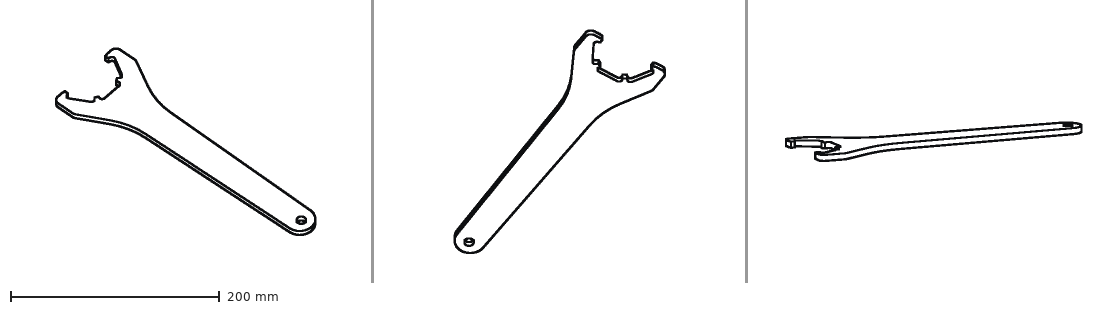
import cadquery as cq
import math

thickness = 6.0
overall_length = 290.0
jaw_width = 89.66

facet_distance = 32.15
facet_step = 60.0
tooth_tip_distance = 29.2
tooth_tip_half_width = 2.1
tooth_taper = 10.5
inner_tooth_angle = 30.0
hook_tooth_angle = inner_tooth_angle + facet_step
relief_radius = 3.0

jaw_end_x = -2.75
jaw_end_radius = 6.0
shoulder_start_x = 21.5
shoulder_radius = 7.0
arm_angle = 28.8
throat_radius = 80.0

handle_end_radius = 15.0
handle_taper = 0.97
hang_hole_diameter = 9.0
hang_hole_to_end = 13.0

jaw_half_width = jaw_width / 2
handle_end_x = jaw_end_x + overall_length
handle_arc_x = handle_end_x - handle_end_radius
hang_hole_x = handle_end_x - hang_hole_to_end
taper_slope = math.tan(math.radians(tooth_taper))


def tooth_point(angle, along, across):
    """Point on a tooth, measured along and across its radial centre line."""
    a = math.radians(angle)
    x = along * math.cos(a) - across * math.sin(a)
    y = along * math.sin(a) + across * math.cos(a)
    return (x, y)


def tooth_root():
    """Place along and across a tooth where its flank meets the next facet."""
    half_step = math.radians(facet_step / 2)
    flank_at_axis = tooth_tip_half_width - tooth_tip_distance * taper_slope
    reach = facet_distance - flank_at_axis * math.sin(half_step)
    along = reach / (math.cos(half_step) + taper_slope * math.sin(half_step))
    return along, flank_at_axis + along * taper_slope


root_along, root_across = tooth_root()
back_centre = (facet_distance, 0)
back_relief = tooth_point(inner_tooth_angle, root_along, -root_across)
inner_tip_low = tooth_point(inner_tooth_angle, tooth_tip_distance, -tooth_tip_half_width)
inner_tip_high = tooth_point(inner_tooth_angle, tooth_tip_distance, tooth_tip_half_width)
inner_relief = tooth_point(inner_tooth_angle, root_along, root_across)
hook_relief = tooth_point(hook_tooth_angle, root_along, -root_across)
hook_tip_inside = tooth_point(hook_tooth_angle, tooth_tip_distance, -tooth_tip_half_width)
hook_tip_outside = tooth_point(hook_tooth_angle, tooth_tip_distance, tooth_tip_half_width)
hook_flank_rise = (-jaw_end_x - tooth_tip_half_width) / taper_slope
hook_flank_end = (jaw_end_x, tooth_tip_distance + hook_flank_rise)
jaw_corner = (jaw_end_x, jaw_half_width)
shoulder_setback = shoulder_radius * math.tan(math.radians(arm_angle / 2))
shoulder = (shoulder_start_x + shoulder_setback, jaw_half_width)

taper_angle = math.radians(handle_taper)
handle_tangent = (
    handle_arc_x + handle_end_radius * math.sin(taper_angle),
    handle_end_radius * math.cos(taper_angle),
)
arm_slope = math.tan(math.radians(arm_angle))
handle_slope = math.tan(taper_angle)
handle_height_at_shoulder = handle_tangent[1] + (handle_tangent[0] - shoulder[0]) * handle_slope
throat_run = (jaw_half_width - handle_height_at_shoulder) / (arm_slope - handle_slope)
throat = (shoulder[0] + throat_run, jaw_half_width - throat_run * arm_slope)
end_mid_angle = (math.pi / 2 - taper_angle) / 2
end_arc_middle = (
    handle_arc_x + handle_end_radius * math.cos(end_mid_angle),
    handle_end_radius * math.sin(end_mid_angle),
)

jaw_corners = [
    back_centre, back_relief, inner_tip_low, inner_tip_high, inner_relief, hook_relief,
    hook_tip_inside, hook_tip_outside, hook_flank_end, jaw_corner, shoulder, throat,
]
rounded_corners = [
    (back_relief, relief_radius),
    (inner_relief, relief_radius),
    (hook_relief, relief_radius),
    (jaw_corner, jaw_end_radius),
    (shoulder, shoulder_radius),
    (throat, throat_radius),
]


def half_blank():
    """Upper half of the wrench with sharp corners."""
    return (
        cq.Workplane("XY")
        .polyline(jaw_corners + [handle_tangent])
        .threePointArc(end_arc_middle, (handle_end_x, 0))
        .close()
        .extrude(thickness)
    )


def round_corner(body, corner, radius):
    """Round the vertical edge standing on the given corner."""
    middle = (corner[0], corner[1], thickness / 2)
    return body.edges(cq.selectors.NearestToPointSelector(middle)).fillet(radius)


def rounded_half():
    """Upper half of the wrench with its corners rounded."""
    body = half_blank()
    for corner, radius in rounded_corners:
        body = round_corner(body, corner, radius)
    return body


def hang_hole():
    """Cylinder that cuts the hanging hole through the handle end."""
    return cq.Workplane("XY").center(hang_hole_x, 0).circle(hang_hole_diameter / 2).extrude(thickness)


upper_half = rounded_half()
lower_half = upper_half.mirror("XZ")
result = upper_half.union(lower_half).clean().cut(hang_hole())